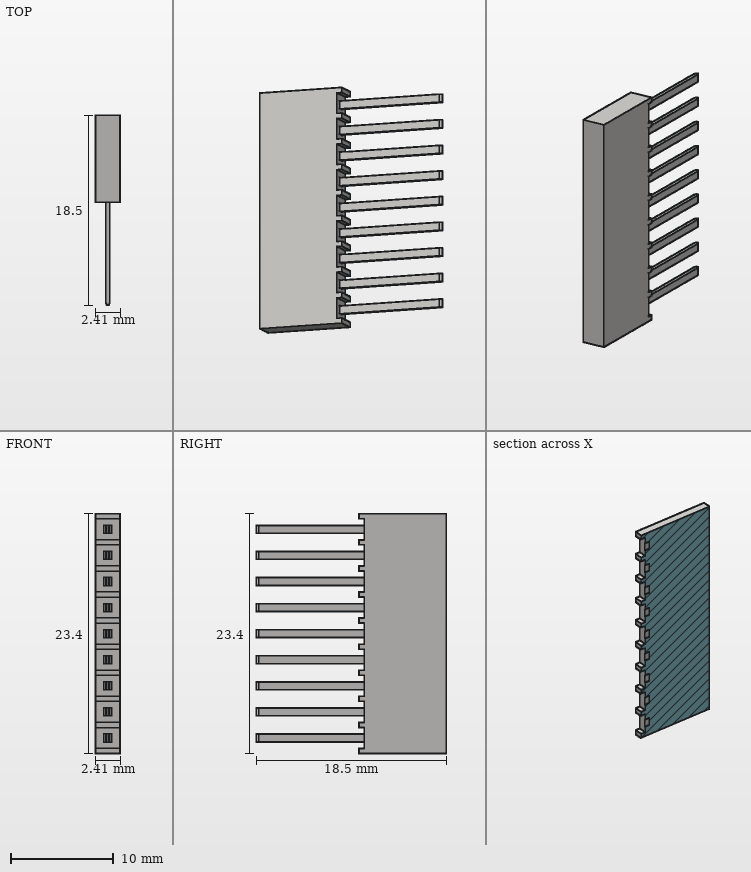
import cadquery as cq

pin_count = 9
pitch = 2.54
rib_height = 0.51
rib_depth = 0.51
housing_width = 2.41
housing_height = pin_count * pitch + rib_height
housing_length = 8.51

overall_length = 18.52
pin_thickness = 0.41
pin_height = 0.79
tip_length = 0.25
tip_thickness = 0.21

opening_width = 0.76
opening_depth = 0.51

rib_face_y = -housing_length
seat_y = rib_face_y + rib_depth
opening_floor_y = seat_y + opening_depth
tip_y = -overall_length
taper_start_y = tip_y + tip_length

pin_heights = [(i - (pin_count - 1) / 2) * pitch for i in range(pin_count)]
rib_heights = [(i - pin_count / 2) * pitch for i in range(pin_count + 1)]


def block(width, y_front, y_back, height, z_center):
    """Box centred on X = 0, running from y_front to y_back."""
    box = cq.Workplane("XY").box(width, y_back - y_front, height)
    return box.translate((0, (y_front + y_back) / 2, z_center))


def pin(z_center):
    """Blade rising from the floor of its opening, tapered at the free end."""
    half = pin_thickness / 2
    half_tip = tip_thickness / 2
    outline = [
        (-half, opening_floor_y),
        (-half, taper_start_y),
        (-half_tip, tip_y),
        (half_tip, tip_y),
        (half, taper_start_y),
        (half, opening_floor_y),
    ]
    blade = cq.Workplane("XY").polyline(outline).close()
    blade = blade.extrude(pin_height / 2, both=True)
    return blade.translate((0, 0, z_center))


def housing():
    """Strip with its row of ribs and pin openings."""
    body = block(housing_width, seat_y, 0, housing_height, 0)
    for z in rib_heights:
        body = body.union(block(housing_width, rib_face_y, seat_y, rib_height, z))
    for z in pin_heights:
        body = body.cut(block(opening_width, seat_y, opening_floor_y, pin_height, z))
    return body


result = housing()
for z in pin_heights:
    result = result.union(pin(z))